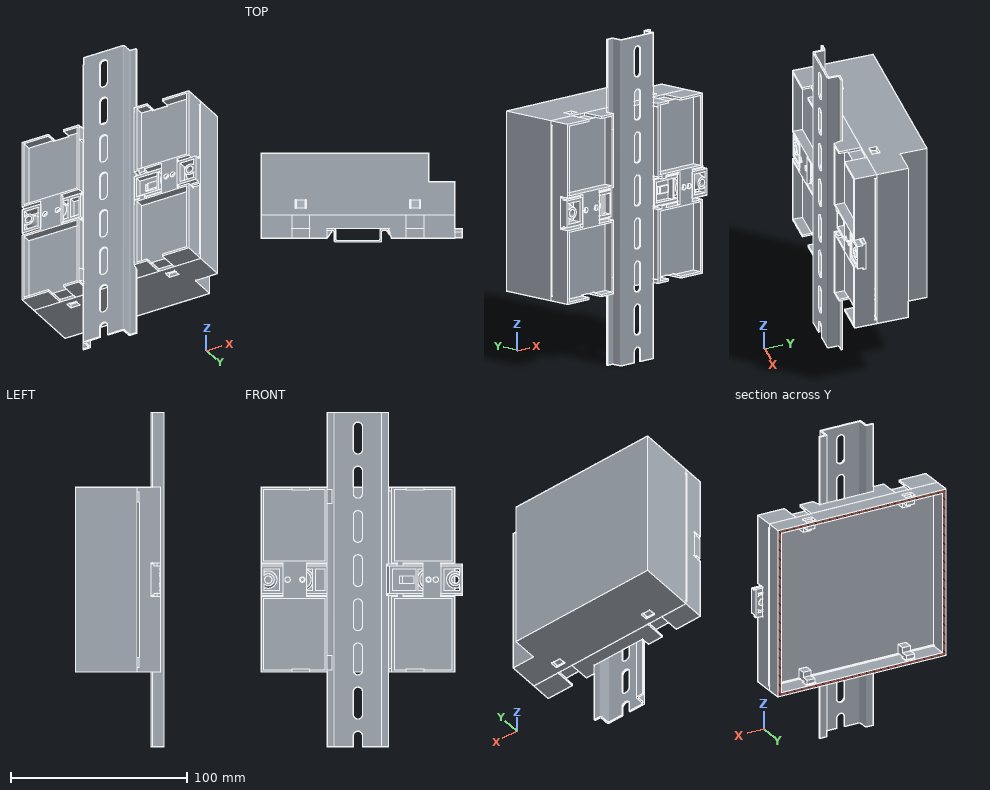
import cadquery as cq


HOUSING_WIDTH = 110.0
HOUSING_HEIGHT = 105.0
COVER_DEPTH = 35.2
BASE_DEPTH = 13.3
HALF_WIDTH = HOUSING_WIDTH / 2
HALF_HEIGHT = HOUSING_HEIGHT / 2
BASE_FRONT = -BASE_DEPTH

COVER_WALL = 2.5
COVER_STEP_X = 40.3
COVER_STEP_Y = 19.0

RAIL_LENGTH = 190.0
RAIL_WIDTH = 35.0
RAIL_WEB_WIDTH = 27.0
RAIL_DEPTH = 7.6
RAIL_THICKNESS = 1.0
RAIL_BEND = 1.0
RAIL_FRONT = -15.4
RAIL_SLOT_WIDTH = 5.1
RAIL_SLOT_LENGTH = 18.0
RAIL_SLOT_PITCH = 25.0
RAIL_SLOT_OFFSET = 5.1
RAIL_SLOT_STEPS = range(-4, 4)

FLOOR_Y = RAIL_FRONT + RAIL_DEPTH
FLANGE_FRONT_Y = FLOOR_Y - RAIL_THICKNESS
SEAT_LEFT = -RAIL_WIDTH / 2
SEAT_RIGHT = 19.0
POCKET_BOTTOM_Z = 10.6
POCKET_TOP_Z = 51.3
LEFT_POCKET = (-53.5, -18.6)
RIGHT_POCKET = (20.7, 53.4)
CHANNEL_HALF_HEIGHT = 9.5
VENT_GAP = 1.1
VENT_HALF_HEIGHT = 49.8

SNAP_X = 32.5
SNAP_WIDTH = 5.1
SNAP_LEG_INNER_Z = 47.3
SNAP_RIB_INNER_Z = 44.0
SNAP_CATCH_REACH = 1.7
WINDOW_WIDTH = 6.0
WINDOW_BOTTOM_Y = 4.0
WINDOW_TOP_Y = 8.5
NOTCH_WIDTH = 10.0
NOTCH_DEPTH = 1.7

HOOK_TIP_X = -14.8
HOOK_TIP_THICKNESS = 0.8
HOOK_BOTTOM_Z = 43.1
RAMP_START_X = 17.7
RAMP_BOTTOM_Z = 50.4

LEFT_STRAP = (-42.5, -29.0)
RIGHT_STRAP = (36.9, 47.1)
STRAP_THICKNESS = 1.9
STRAP_BACK_Y = BASE_FRONT + STRAP_THICKNESS
STRAP_HOLE_RADIUS = 1.5
LEFT_STRAP_HOLES = (-39.9, -31.5)
RIGHT_STRAP_HOLES = (40.0, 44.3)

TAB_SPAN = (22.2, 25.6)
LATCH_SPAN = (23.5, 31.7)
LATCH_STEP_X = 25.3
LATCH_HALF_HEIGHT = 2.0
LATCH_LOW_RISE = 0.5
LATCH_HIGH_RISE = 1.1

SLIDER_FRONT_Y = -13.0
SLIDER_FLANGE_Y = -9.7
SLIDER_FLANGE_HALF_HEIGHT = 9.0
SLIDER_BODY_HALF_HEIGHT = 7.8
SLIDER_WINDOW_HALF_HEIGHT = 6.0
SLIDER_TRAVEL = 4.4
LEFT_SLIDER_INNER_X = SEAT_LEFT
SLIDER_NOSE_X = 16.2
SLIDER_NOSE_TOP_X = 18.0
LEFT_END_WINDOW = (-53.4, -44.5)
LEFT_MID_WINDOW = (LEFT_STRAP[1], -25.6)
LEFT_INNER_WINDOW = (-24.0, -18.6)
RIGHT_END_WINDOW = (49.0, 57.8)
RIGHT_MID_WINDOW = (34.0, RIGHT_STRAP[0])
RIGHT_INNER_WINDOW = (19.5, 32.9)
LEFT_END_EYE_X = -51.0
RIGHT_END_EYE_X = -LEFT_END_EYE_X + SLIDER_TRAVEL
END_EYE_RADII = (5.0, 3.5)
END_EYE_HOLE_RADIUS = 2.0
MID_EYE_RADII = (6.3, 5.0)
MID_EYE_HOLE_RADIUS = 1.1


def box(x_range, y_range, z_range):
    """Box filling the given coordinate ranges."""
    (x0, x1), (y0, y1), (z0, z1) = x_range, y_range, z_range
    size = (x1 - x0, y1 - y0, z1 - z0)
    return cq.Workplane("XY").box(*size, centered=False).translate((x0, y0, z0))


def prism(points_xy, z_range):
    """Extrude an outline in X and Y over a height range."""
    z0, z1 = z_range
    return cq.Workplane("XY").workplane(offset=z0).polyline(points_xy).close().extrude(z1 - z0)


def front_cylinder(x, radius, y_range):
    """Cylinder along Y at mid height."""
    back, front = max(y_range), min(y_range)
    return cq.Workplane("XZ", origin=(x, back, 0)).circle(radius).extrude(back - front)


def with_mirror(body):
    """Body together with its mirror image about the mid-height plane."""
    return body.union(body.mirror("XY"))


def make_rail():
    """Top-hat rail with a row of elongated holes; the lowest runs out of the end."""
    half = RAIL_WIDTH / 2
    web = RAIL_WEB_WIDTH / 2
    inner = web - RAIL_THICKNESS
    right = [
        (inner, RAIL_FRONT + RAIL_THICKNESS),
        (inner, FLOOR_Y),
        (half, FLOOR_Y),
        (half, FLANGE_FRONT_Y),
        (web, FLANGE_FRONT_Y),
        (web, RAIL_FRONT),
    ]
    left = [(-x, y) for x, y in reversed(right)]
    rail = prism(right + left, (-RAIL_LENGTH / 2, RAIL_LENGTH / 2))

    middle_y = (FLOOR_Y + RAIL_FRONT) / 2
    reach = (web + half) / 2
    web_bends = cq.selectors.BoxSelector(
        (-reach, RAIL_FRONT - RAIL_THICKNESS, -RAIL_BEND), (reach, FLOOR_Y + RAIL_THICKNESS, RAIL_BEND)
    )
    rail = rail.edges("|Z").edges(web_bends).fillet(RAIL_BEND)

    centres = [(0, RAIL_SLOT_OFFSET + step * RAIL_SLOT_PITCH) for step in RAIL_SLOT_STEPS]
    slots = (
        cq.Workplane("XZ", origin=(0, middle_y, 0))
        .pushPoints(centres)
        .slot2D(RAIL_SLOT_LENGTH, RAIL_SLOT_WIDTH, 90)
        .extrude(RAIL_DEPTH)
    )
    return rail.cut(slots)


def cover_outline(inset):
    """Stepped outline of the cover, moved inwards by the inset on all sides but the open one."""
    side = HALF_WIDTH - inset
    return [
        (-side, 0),
        (side, 0),
        (side, COVER_STEP_Y - inset),
        (COVER_STEP_X - inset, COVER_STEP_Y - inset),
        (COVER_STEP_X - inset, COVER_DEPTH - inset),
        (-side, COVER_DEPTH - inset),
    ]


def make_cover():
    """Stepped hood, open towards the base, with snap windows in the top and bottom walls."""
    cover = prism(cover_outline(0), (-HALF_HEIGHT, HALF_HEIGHT))
    inner_z = HALF_HEIGHT - COVER_WALL
    cover = cover.cut(prism(cover_outline(COVER_WALL), (-inner_z, inner_z)))
    for x in (-SNAP_X, SNAP_X):
        cover = cover.cut(
            box(
                (x - WINDOW_WIDTH / 2, x + WINDOW_WIDTH / 2),
                (WINDOW_BOTTOM_Y, WINDOW_TOP_Y),
                (-HALF_HEIGHT, HALF_HEIGHT),
            )
        )
    return cover


def make_snap(x):
    """Upper snap leg with its backing rib and a wedge that catches in the cover window."""
    left = x - SNAP_WIDTH / 2
    right = x + SNAP_WIDTH / 2
    leg_top = WINDOW_TOP_Y
    leg = box((left, right), (-VENT_GAP, leg_top), (SNAP_LEG_INNER_Z, VENT_HALF_HEIGHT))
    rib = box((left, right), (-VENT_GAP, WINDOW_BOTTOM_Y), (SNAP_RIB_INNER_Z, SNAP_LEG_INNER_Z))
    wedge = (
        cq.Workplane("YZ", origin=(left, 0, 0))
        .moveTo(WINDOW_BOTTOM_Y, SNAP_LEG_INNER_Z)
        .lineTo(WINDOW_BOTTOM_Y, VENT_HALF_HEIGHT + SNAP_CATCH_REACH)
        .lineTo(leg_top, VENT_HALF_HEIGHT)
        .lineTo(leg_top, SNAP_LEG_INNER_Z)
        .close()
        .extrude(SNAP_WIDTH)
    )
    return leg.union(rib).union(wedge)


def make_hook():
    """Upper lip that reaches over the left rail flange."""
    outline = [
        (SEAT_LEFT, BASE_FRONT),
        (SEAT_LEFT, FLANGE_FRONT_Y),
        (HOOK_TIP_X, FLANGE_FRONT_Y),
        (HOOK_TIP_X, FLANGE_FRONT_Y - HOOK_TIP_THICKNESS),
    ]
    root = box(
        (LEFT_POCKET[1], SEAT_LEFT), (BASE_FRONT, FLOOR_Y), (HOOK_BOTTOM_Z, POCKET_TOP_Z)
    )
    return prism(outline, (HOOK_BOTTOM_Z, POCKET_TOP_Z)).union(root)


def make_ramp():
    """Upper sloped block at the right edge of the rail seat."""
    outline = [
        (SEAT_RIGHT, BASE_FRONT),
        (RIGHT_POCKET[0], BASE_FRONT),
        (RIGHT_POCKET[0], FLOOR_Y),
        (RAMP_START_X, FLOOR_Y),
        (RAMP_START_X, FLANGE_FRONT_Y),
    ]
    return prism(outline, (RAMP_BOTTOM_Z, HALF_HEIGHT))


def make_latch():
    """Low two-step block on the channel floor under the right slider."""
    start, end = LATCH_SPAN
    height = (-LATCH_HALF_HEIGHT, LATCH_HALF_HEIGHT)
    low = box((start, end), (FLOOR_Y - LATCH_LOW_RISE, FLOOR_Y), height)
    high = box((LATCH_STEP_X, end), (FLOOR_Y - LATCH_HIGH_RISE, FLOOR_Y), height)
    return low.union(high)


def make_base():
    """Rail-side half of the housing."""
    full_height = (-HALF_HEIGHT, HALF_HEIGHT)
    full_width = (-HALF_WIDTH, HALF_WIDTH)
    front_zone = (BASE_FRONT, FLOOR_Y)
    base = box(full_width, (BASE_FRONT, 0), full_height)

    base = base.cut(box(full_width, (-VENT_GAP, 0), (-VENT_HALF_HEIGHT, VENT_HALF_HEIGHT)))
    base = base.cut(box((SEAT_LEFT, SEAT_RIGHT), front_zone, full_height))
    base = base.cut(box(full_width, front_zone, (-CHANNEL_HALF_HEIGHT, CHANNEL_HALF_HEIGHT)))
    for span in (LEFT_POCKET, RIGHT_POCKET):
        base = base.cut(with_mirror(box(span, front_zone, (POCKET_BOTTOM_Z, POCKET_TOP_Z))))

    for x in (-SNAP_X, SNAP_X):
        span = (x - NOTCH_WIDTH / 2, x + NOTCH_WIDTH / 2)
        notch = box(span, (BASE_FRONT, 0), (HALF_HEIGHT - NOTCH_DEPTH, HALF_HEIGHT))
        base = base.cut(with_mirror(notch)).union(with_mirror(make_snap(x)))

    strap_zone = (BASE_FRONT, STRAP_BACK_Y)
    channel_height = (-CHANNEL_HALF_HEIGHT, CHANNEL_HALF_HEIGHT)
    for span, holes in ((LEFT_STRAP, LEFT_STRAP_HOLES), (RIGHT_STRAP, RIGHT_STRAP_HOLES)):
        strap = box(span, strap_zone, channel_height)
        for x in holes:
            strap = strap.cut(front_cylinder(x, STRAP_HOLE_RADIUS, strap_zone))
        base = base.union(strap)

    tab = box(
        TAB_SPAN, (BASE_FRONT, SLIDER_FLANGE_Y), (SLIDER_BODY_HALF_HEIGHT, POCKET_BOTTOM_Z)
    )
    for detail in (make_hook(), make_ramp(), tab):
        base = base.union(with_mirror(detail))
    return base.union(make_latch())


def make_eye(x, radii, hole_radius, front_y):
    """Solid cone rising from the floor to the given front, and the cutter for its bore."""
    wide, narrow = radii
    height = FLOOR_Y - front_y
    cone = cq.Workplane(cq.Solid.makeCone(wide, narrow, height, (x, FLOOR_Y, 0), (0, -1, 0)))
    bore = front_cylinder(x, hole_radius, (FLOOR_Y, front_y))
    return cone, bore


def make_slider(span, thin_span, end_window, mid_window, inner_window, end_eye_x, mid_eye_x):
    """Flanged slide with three openings and two conical eyes, thinned where it runs under its strap."""
    depth = (SLIDER_FRONT_Y, FLOOR_Y)
    window_height = (-SLIDER_WINDOW_HALF_HEIGHT, SLIDER_WINDOW_HALF_HEIGHT)
    flange_height = (-SLIDER_FLANGE_HALF_HEIGHT, SLIDER_FLANGE_HALF_HEIGHT)
    slider = box(span, depth, (-SLIDER_BODY_HALF_HEIGHT, SLIDER_BODY_HALF_HEIGHT))
    slider = slider.union(box(span, (SLIDER_FLANGE_Y, FLOOR_Y), flange_height))
    slider = slider.cut(box(thin_span, (SLIDER_FRONT_Y, STRAP_BACK_Y), flange_height))
    for window in (end_window, mid_window, inner_window):
        slider = slider.cut(box(window, depth, window_height))

    end_cone, end_bore = make_eye(end_eye_x, END_EYE_RADII, END_EYE_HOLE_RADIUS, SLIDER_FRONT_Y)
    slider = slider.union(end_cone.intersect(box(end_window, depth, window_height)))
    mid_cone, mid_bore = make_eye(mid_eye_x, MID_EYE_RADII, MID_EYE_HOLE_RADIUS, STRAP_BACK_Y)
    slider = slider.union(mid_cone.intersect(box(mid_window, depth, window_height)))
    return slider.cut(end_bore).cut(mid_bore)


def make_left_slider():
    """Slide pushed fully in, flush with the housing side."""
    return make_slider(
        (-HALF_WIDTH, LEFT_SLIDER_INNER_X),
        (LEFT_STRAP[0], LEFT_SLIDER_INNER_X),
        LEFT_END_WINDOW,
        LEFT_MID_WINDOW,
        LEFT_INNER_WINDOW,
        LEFT_END_EYE_X,
        LEFT_STRAP_HOLES[1],
    )


def make_right_slider():
    """Slide standing out of the housing side, with a sloped nose in front of the rail flange."""
    slider = make_slider(
        (SLIDER_NOSE_X, HALF_WIDTH + SLIDER_TRAVEL),
        (SLIDER_NOSE_X, RIGHT_STRAP[1]),
        RIGHT_END_WINDOW,
        RIGHT_MID_WINDOW,
        RIGHT_INNER_WINDOW,
        RIGHT_END_EYE_X,
        RIGHT_STRAP_HOLES[0],
    )
    height = (-SLIDER_FLANGE_HALF_HEIGHT, SLIDER_FLANGE_HALF_HEIGHT)
    rail_relief = box((SLIDER_NOSE_X, RAIL_WIDTH / 2), (FLANGE_FRONT_Y, FLOOR_Y), height)
    slope = prism(
        [
            (SLIDER_NOSE_X, FLANGE_FRONT_Y),
            (SLIDER_NOSE_TOP_X, STRAP_BACK_Y),
            (SLIDER_NOSE_X, STRAP_BACK_Y),
        ],
        height,
    )
    return slider.cut(rail_relief).cut(slope)


rail = make_rail()
cover = make_cover()
base = make_base()
left_slider = make_left_slider()
right_slider = make_right_slider()

bodies = [rail, cover, base, left_slider, right_slider]
result = cq.Compound.makeCompound([body.solids().val() for body in bodies])